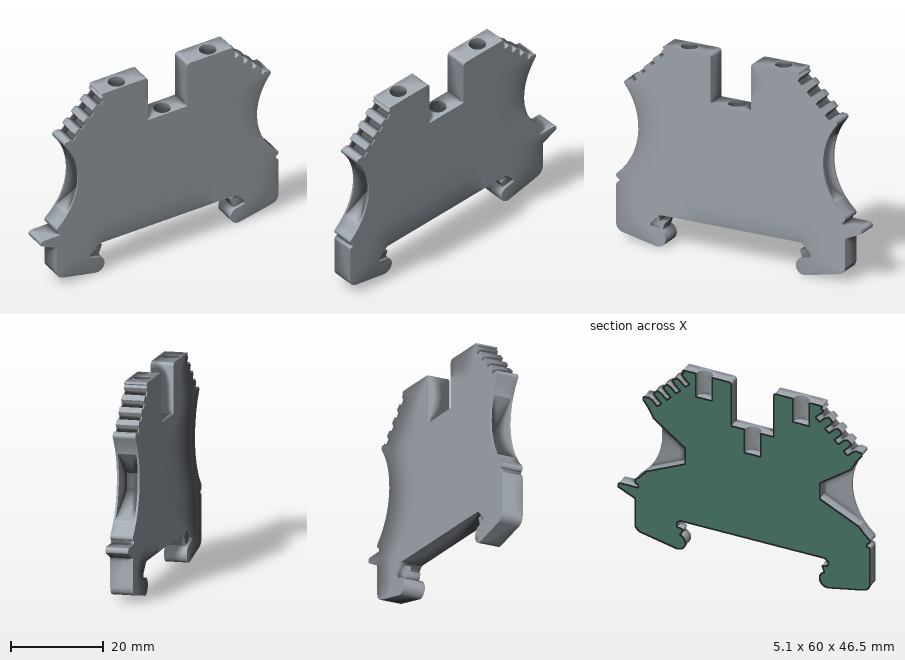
import cadquery as cq
import math

THICKNESS = 5.1
LENGTH = 60.0
HEIGHT = 46.5
TAB_REACH = 4.0
BODY_HALF = (LENGTH - TAB_REACH) / 2
BODY_MID_Y = TAB_REACH / 2

SLOT_HALF = 5.0
SLOT_FLOOR_Z = 35.35
SLOT_CORNER_RADIUS = 0.7

TOP_HALF = 16.6
TOP_CORNER_RADIUS = 0.35
TOP_NICK = (16.4, 45.85)
TOOTH_SPACES = 4
TOOTH_STEP = (2.2, -2.3)
FIRST_SPACE = (16.3, 44.45)
SPACE_FLOOR = (0.9, -0.9)
TIP_START = (1.75, -0.4)
TIP_END = (2.8, -1.4)

TOOTH_POCKET_DEPTH = 1.8
TOOTH_POCKET_WIDTH = 4.7

SHOULDER_HALF = 26.05
SHOULDER_LIP_Z = 37.15
SHOULDER_NICK = (25.25, 36.95)
SHOULDER_LIP_RADIUS = 0.65
SHOULDER_LIP_END = 25.85

WAIST_RADIUS = 15.0
WAIST_HALF = 22.55
WAIST_Z = 26.6

NOTCH_TOP_Z = 13.9
NOTCH_BOTTOM_Z = 13.2
NOTCH_DEPTH = 0.8
NOTCH_LIP_RADIUS = 0.7
NOTCH_LIP_START = 27.8
NOTCH_SILL_RADIUS = 0.65

TAB_TIP_BOTTOM_Z = 12.0
TAB_ROOT_BOTTOM_Z = 10.2
TAB_TIP_RADIUS = 0.8

FINGER_RADIUS = 2.0
FINGER_CENTER = 17.9
FINGER_SLOPE = math.radians(12)
FOOT_CORNER_RADIUS = 2.0
RAIL_FACE_Z = 7.4
RAIL_FACE_HALF = 17.3
RAIL_CORNER_RADIUS = 0.9
UNDERCUT_HALF = 19.55

CLIP_INSET = 0.7
CLIP_TIP_THICKNESS = 1.2

SCREW_HOLE_DIAMETER = 3.8
SCREW_HOLE_DEPTH = 6.0
SCREW_HOLE_SPACING = 11.5
SCREW_HOLE_X = 0.25

FUNNEL_WIDTH = 4.2
FUNNEL_END_HALF = 16.0
FUNNEL_MOUTH_Z = (17.9, 32.1)
FUNNEL_END_Z = (22.45, 26.4)


def plate(outline, thickness):
    """Close an outline drawn in the YZ plane and thicken it evenly about X = 0."""
    return outline.close().extrude(thickness / 2, both=True)


def shifted(point, offset, times=1):
    return (point[0] + times * offset[0], point[1] + times * offset[1])


def waist_point_at_half(half, side):
    """Point of the waist arc at a given half width, above (+1) or below (-1) its middle."""
    reach = WAIST_HALF + WAIST_RADIUS - half
    return (half, WAIST_Z + side * math.sqrt(WAIST_RADIUS**2 - reach**2))


def waist_half_at(z):
    return WAIST_HALF + WAIST_RADIUS - math.sqrt(WAIST_RADIUS**2 - (z - WAIST_Z) ** 2)


def finger_point(side):
    """Where the flat top (+1) or bottom (-1) of the finger leaves its round end."""
    return (
        FINGER_CENTER - side * FINGER_RADIUS * math.sin(FINGER_SLOPE),
        FINGER_RADIUS + side * FINGER_RADIUS * math.cos(FINGER_SLOPE),
    )


def finger_z(side, half):
    """Height of the flat top or bottom of the finger at a given half width."""
    start_half, start_z = finger_point(side)
    return start_z + (half - start_half) * math.tan(FINGER_SLOPE)


def round_edge(body, point, radius):
    """Round the edge along X that passes closest to a point of the outline."""
    edge = body.edges("|X").edges(cq.selectors.NearestToPointSelector((0, *point)))
    return edge.fillet(radius)


def tooth_points():
    """Corners of the toothed shoulder, from the top edge down to its last tooth."""
    points = [shifted(shifted(FIRST_SPACE, TOOTH_STEP, -1), TIP_END)]
    for index in range(TOOTH_SPACES):
        space = shifted(FIRST_SPACE, TOOTH_STEP, index)
        points += [space, shifted(space, SPACE_FLOOR), shifted(space, TIP_START)]
        if index < TOOTH_SPACES - 1:
            points.append(shifted(space, TIP_END))
    return points


def half_body():
    """The +Y half of the body, with its middle plane at Y = 0."""
    top_inner = (SLOT_HALF, HEIGHT)
    top_outer = (TOP_HALF, HEIGHT)
    shoulder_lip_start = (SHOULDER_HALF - SHOULDER_LIP_RADIUS, SHOULDER_LIP_Z)
    shoulder_lip_outer = (SHOULDER_HALF, SHOULDER_LIP_Z - SHOULDER_LIP_RADIUS)
    notch_lip_outer = (BODY_HALF, NOTCH_TOP_Z + NOTCH_LIP_RADIUS)
    notch_lip_end = (BODY_HALF - NOTCH_LIP_RADIUS, NOTCH_TOP_Z)
    waist_top = waist_point_at_half(SHOULDER_LIP_END, 1)
    waist_bottom = waist_point_at_half(NOTCH_LIP_START, -1)
    notch_sill = (BODY_HALF, NOTCH_BOTTOM_Z)
    foot_corner = (BODY_HALF, finger_z(-1, BODY_HALF))
    undercut_z = RAIL_FACE_Z - (UNDERCUT_HALF - RAIL_FACE_HALF)

    outline = cq.Workplane("YZ").moveTo(0, RAIL_FACE_Z).lineTo(0, SLOT_FLOOR_Z)
    outline = outline.lineTo(SLOT_HALF, SLOT_FLOOR_Z).lineTo(*top_inner).lineTo(*top_outer)
    outline = outline.lineTo(TOP_HALF, TOP_NICK[1] + TOP_HALF - TOP_NICK[0]).lineTo(*TOP_NICK)
    for point in tooth_points():
        outline = outline.lineTo(*point)
    outline = outline.lineTo(*SHOULDER_NICK).lineTo(*shoulder_lip_start)
    outline = outline.threePointArc(shoulder_lip_outer, waist_top)
    outline = outline.threePointArc((WAIST_HALF, WAIST_Z), waist_bottom)
    outline = outline.threePointArc(notch_lip_outer, notch_lip_end)
    outline = outline.lineTo(BODY_HALF - NOTCH_DEPTH, NOTCH_TOP_Z)
    outline = outline.lineTo(BODY_HALF - NOTCH_DEPTH, NOTCH_BOTTOM_Z).lineTo(*notch_sill)
    outline = outline.lineTo(*foot_corner).lineTo(*finger_point(-1))
    finger_end = (
        FINGER_CENTER - FINGER_RADIUS * math.cos(FINGER_SLOPE),
        FINGER_RADIUS - FINGER_RADIUS * math.sin(FINGER_SLOPE),
    )
    outline = outline.threePointArc(finger_end, finger_point(1))
    outline = outline.lineTo(UNDERCUT_HALF, finger_z(1, UNDERCUT_HALF))
    outline = outline.lineTo(UNDERCUT_HALF, undercut_z).lineTo(RAIL_FACE_HALF, RAIL_FACE_Z)
    body = plate(outline, THICKNESS)

    body = round_edge(body, top_inner, SLOT_CORNER_RADIUS)
    body = round_edge(body, top_outer, TOP_CORNER_RADIUS)
    body = round_edge(body, notch_sill, NOTCH_SILL_RADIUS)
    body = round_edge(body, (RAIL_FACE_HALF, RAIL_FACE_Z), RAIL_CORNER_RADIUS)
    return round_edge(body, foot_corner, FOOT_CORNER_RADIUS)


def tooth_pockets():
    """Cutters for the pockets below the floors of the +Y tooth spaces."""
    floor_length = math.hypot(*SPACE_FLOOR)
    inward = (
        SPACE_FLOOR[1] * TOOTH_POCKET_DEPTH / floor_length,
        -SPACE_FLOOR[0] * TOOTH_POCKET_DEPTH / floor_length,
    )
    cutters = cq.Workplane("YZ")
    for index in range(TOOTH_SPACES):
        start = shifted(FIRST_SPACE, TOOTH_STEP, index)
        end = shifted(start, SPACE_FLOOR)
        corners = [start, end, shifted(end, inward), shifted(start, inward)]
        cutters = cutters.add(plate(cq.Workplane("YZ").polyline(corners), TOOTH_POCKET_WIDTH))
    return cutters.combine()


def spring_clip():
    """Clip in the +Y undercut: a wide foot and a narrow square tip, both set in from the faces."""
    heel = (17.05, 3.85)
    shoulder = (16.5, 5.35)
    tip_root = (17.4, 5.65)
    slit_floor = (17.9, 5.6)
    slit_top = (17.95, 6.6)
    root = (UNDERCUT_HALF + 0.6, slit_top[1])
    foot_points = [heel, shoulder, tip_root, slit_floor, slit_top, root, (root[0], heel[1])]
    tip_points = [shoulder, (16.15, 6.3), (17.1, 6.65), tip_root, heel]
    foot = plate(cq.Workplane("YZ").polyline(foot_points), THICKNESS - 2 * CLIP_INSET)
    tip = plate(cq.Workplane("YZ").polyline(tip_points), CLIP_TIP_THICKNESS)
    tip = tip.translate(((THICKNESS - CLIP_TIP_THICKNESS) / 2 - CLIP_INSET, 0, 0))
    return foot.union(tip)


def wire_funnel():
    """Cutter for the wire entry in the +Y waist, carried straight out beyond the waist."""
    mouth_low, mouth_high = FUNNEL_MOUTH_Z
    end_low, end_high = FUNNEL_END_Z
    points = [
        (FUNNEL_END_HALF, end_low),
        (waist_half_at(mouth_low), mouth_low),
        (BODY_HALF, mouth_low),
        (BODY_HALF, mouth_high),
        (waist_half_at(mouth_high), mouth_high),
        (FUNNEL_END_HALF, end_high),
    ]
    return plate(cq.Workplane("YZ").polyline(points), FUNNEL_WIDTH)


def release_tab():
    """Tapered tab on the -Y side, with a round nose that ends at a sharp lower corner."""
    root = -(BODY_HALF - NOTCH_DEPTH)
    nose_y = TAB_TIP_RADIUS - BODY_HALF - TAB_REACH
    nose_z = NOTCH_BOTTOM_Z - TAB_TIP_RADIUS
    nose_end_y = nose_y - math.sqrt(TAB_TIP_RADIUS**2 - (TAB_TIP_BOTTOM_Z - nose_z) ** 2)

    outline = cq.Workplane("YZ").moveTo(root, NOTCH_BOTTOM_Z).lineTo(nose_y, NOTCH_BOTTOM_Z)
    outline = outline.threePointArc((nose_y - TAB_TIP_RADIUS, nose_z), (nose_end_y, TAB_TIP_BOTTOM_Z))
    outline = outline.lineTo(-BODY_HALF, TAB_ROOT_BOTTOM_Z).lineTo(root, TAB_ROOT_BOTTOM_Z)
    return plate(outline, THICKNESS)


def screw_hole(half, top_z):
    hole = cq.Workplane("XY", origin=(SCREW_HOLE_X, half, top_z))
    return hole.circle(SCREW_HOLE_DIAMETER / 2).extrude(-SCREW_HOLE_DEPTH)


half = half_body().union(spring_clip()).cut(wire_funnel()).cut(tooth_pockets())
half = half.cut(screw_hole(SCREW_HOLE_SPACING, HEIGHT))
part = half.union(half.mirror("XZ")).union(release_tab())
part = part.cut(screw_hole(0, SLOT_FLOOR_Z))
result = part.translate((0, BODY_MID_Y, 0))